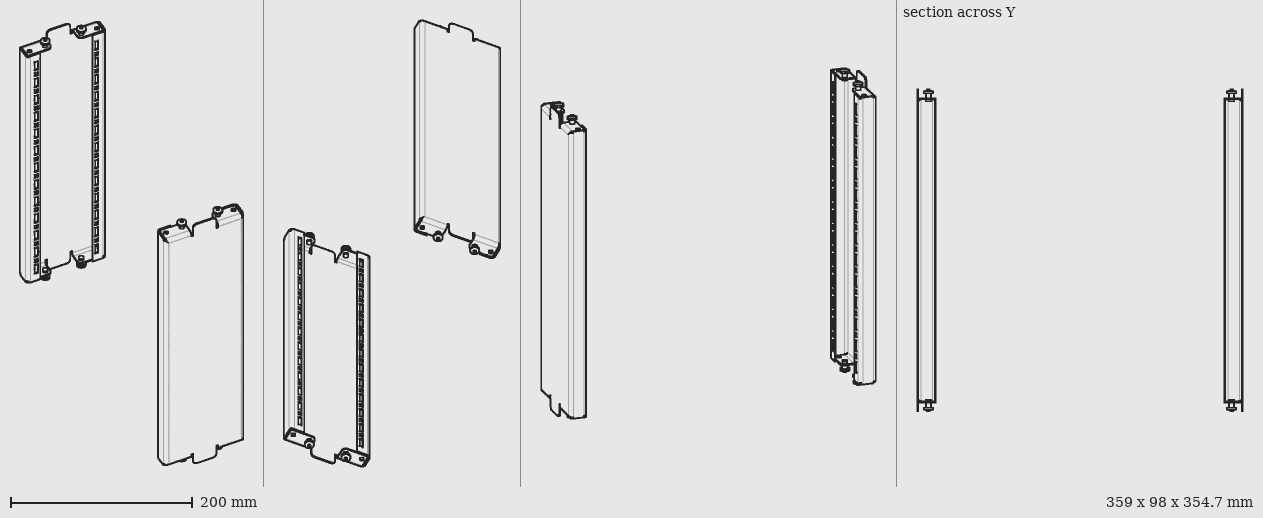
import cadquery as cq
overall_width = 359.0
overall_height = 354.7
panel_width = 98.0
body_height = 335.5
panel_depth = 21.0

sheet = 1.5
bend_radius = 4.3
inner_bend_radius = bend_radius - sheet
lip_width = 16.5

flange_gap = 0.7
flange_gap_depth = 1.8
corner_relief = bend_radius
flange_edge_x = panel_depth - sheet - flange_gap
flange_width = panel_width - 2 * (sheet + flange_gap)
flange_corner_radius = 5.0

tab_width = 28.7
tab_corner_radius = 4.5
relief_width = 2.0
relief_depth = 6.0
notch_width = tab_width + 2 * relief_width

flange_hole_diameter = 4.5
flange_hole_y = 41.5
stud_y = 22.3
stud_x = 12.5

neck_diameter = 5.7
foot_height = 2.0
head_diameter = 10.5
head_rim_height = 2.0
head_cone_height = 1.0
tip_diameter = 3.2
tip_height = 1.0

slot_width = 4.3
long_slot_length = 12.5
short_slot_length = 4.3
slot_pitch = 25.0
long_slot_count = 13
slot_edge = 12.0


def block(x_start, x_end, y_size, z_size):
    """Box centred on Y and Z, running from x_start to x_end."""
    box = cq.Workplane("XY").box(x_end - x_start, y_size, z_size)
    return box.translate(((x_start + x_end) / 2, 0, 0))


def bent_block(x_start, x_end, y_size, z_size, radius):
    """Block with the bends of the outer face and of the two lips rounded."""
    body = block(x_start, x_end, y_size, z_size)
    body = body.faces("<X").edges().fillet(radius)
    return body.faces(">X").edges("|Z").fillet(radius)


def through_cylinders(points, diameter):
    """Cylinders along Z, long enough to pass through both end flanges."""
    circles = cq.Workplane("XY").pushPoints(points).circle(diameter / 2)
    return circles.extrude(body_height, both=True)


def make_shell():
    """Bent shell with its outer face on X = 0 and its open side towards +X."""
    lip_inner_x = panel_depth - sheet
    shell = bent_block(0, panel_depth, panel_width, body_height, bend_radius)
    cavity = bent_block(
        sheet, lip_inner_x, panel_width - 2 * sheet, body_height - 2 * sheet, inner_bend_radius
    )
    opening = block(lip_inner_x, panel_depth, panel_width - 2 * lip_width, body_height)
    return shell.cut(cavity).cut(opening)


def separate_flanges(panel):
    """Cut the clearance between each end flange and the walls, open at the bent corners."""
    flange = block(0, flange_edge_x, flange_width, body_height)
    gap = block(0, panel_depth - sheet, panel_width - 2 * sheet, body_height)
    corners = block(0, corner_relief, panel_width, body_height)
    middle = block(0, panel_depth, panel_width, body_height - 2 * flange_gap_depth)
    return panel.cut(gap.union(corners).cut(flange).cut(middle))


def add_tabs(panel):
    """Notch the end flanges and carry the flat outer sheet on as a tab at each end."""
    notch = block(0, panel_depth, notch_width, body_height).cut(
        block(0, panel_depth, notch_width, body_height - 2 * relief_depth)
    )
    tab_strip = block(0, sheet, tab_width, overall_height).edges("|X").fillet(tab_corner_radius)
    return panel.cut(notch).union(tab_strip)


def round_flange_corners(panel):
    """Round the free corner of each end flange beside the notch."""
    radius = flange_corner_radius
    for side in (-1, 1):
        square_center = (flange_edge_x - radius / 2, side * (notch_width + radius) / 2)
        arc_center = (flange_edge_x - radius, side * (notch_width / 2 + radius))
        square = cq.Workplane("XY").center(*square_center).rect(radius, radius)
        waste = square.extrude(body_height, both=True).cut(through_cylinders([arc_center], 2 * radius))
        panel = panel.cut(waste)
    return panel


def drill_flanges(panel):
    """Drill the plain holes and the stud seats through both end flanges."""
    hole_points = [(stud_x, side * flange_hole_y) for side in (-1, 1)]
    seat_points = [(stud_x, side * stud_y) for side in (-1, 1)]
    panel = panel.cut(through_cylinders(hole_points, flange_hole_diameter))
    return panel.cut(through_cylinders(seat_points, neck_diameter))


def slot_row(length, count):
    """Cutters for one evenly spaced row of slots in both lips, centred on Z = 0."""
    y_slot = panel_width / 2 - slot_edge
    first_z = -(count - 1) * slot_pitch / 2
    points = [(side * y_slot, first_z + index * slot_pitch) for side in (-1, 1) for index in range(count)]
    plane = cq.Workplane("YZ", origin=(panel_depth - sheet, 0, 0))
    return plane.pushPoints(points).rect(slot_width, length).extrude(sheet)


def cut_lip_slots(panel):
    panel = panel.cut(slot_row(long_slot_length, long_slot_count))
    return panel.cut(slot_row(short_slot_length, long_slot_count - 1))


def make_panel():
    panel = make_shell()
    panel = separate_flanges(panel)
    panel = add_tabs(panel)
    panel = round_flange_corners(panel)
    panel = drill_flanges(panel)
    return cut_lip_slots(panel)


def make_stud():
    """Stud of the upper end, turned about Z, its tip level with the tip of the tab."""
    foot_z = body_height / 2 - sheet - foot_height
    tip_z = overall_height / 2
    cone_end_z = tip_z - tip_height
    cone_start_z = cone_end_z - head_cone_height
    rim_start_z = cone_start_z - head_rim_height
    profile = (
        cq.Workplane("XZ")
        .moveTo(0, foot_z)
        .lineTo(neck_diameter / 2, foot_z)
        .lineTo(neck_diameter / 2, rim_start_z)
        .lineTo(head_diameter / 2, rim_start_z)
        .lineTo(head_diameter / 2, cone_start_z)
        .lineTo(tip_diameter / 2, cone_end_z)
        .lineTo(tip_diameter / 2, tip_z)
        .lineTo(0, tip_z)
        .close()
    )
    return profile.revolve(360, (0, 0, 0), (0, 1, 0))


left_panel = make_panel().translate((-overall_width / 2, 0, 0))
right_panel = left_panel.mirror("YZ")

studs = []
for y_side in (-1, 1):
    upper_left = make_stud().translate((stud_x - overall_width / 2, y_side * stud_y, 0))
    for left_stud in (upper_left, upper_left.mirror("XY")):
        studs.append(left_stud.val())
        studs.append(left_stud.mirror("YZ").val())

result = cq.Compound.makeCompound([left_panel.val(), right_panel.val(), *studs])